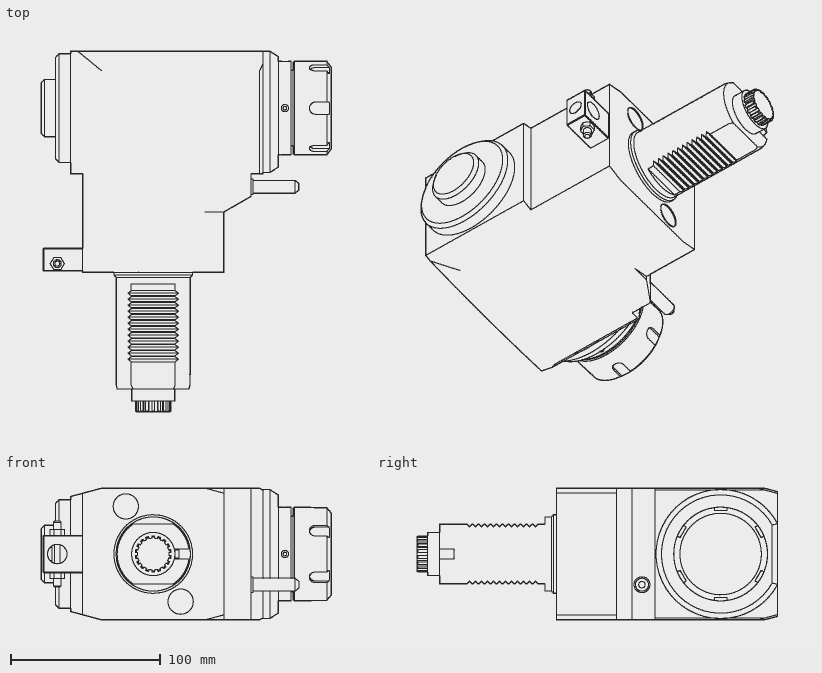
import cadquery as cq
import math


overall_length = 241.0

thickness = 88.0
half_thickness = thickness / 2
back_y = 147.7
head_left_x = -55.2
head_front_y = 65.8
head_right_x = 73.3
foot_half_width = 47.2
shoulder_x = 65.3
shoulder_front_y = 50.5
foot_back_y = 40.2
bevel_start_x = 34.7
bevel_angle = 15.0
bevel_slope = math.tan(math.radians(bevel_angle))
rim_bevel = 2.2
rim_bevel_angle = 30.0
rim_bevel_slope = math.tan(math.radians(rim_bevel_angle))
crown_radius = 308.5
crown_mid_y = 139.3
plug_radius = 8.5
plug_depth = 0.7
plug_x = 18.3
plug_z = 31.8

spindle_y = 109.7
cap_radius = 43.1
cap_end_x = 83.6
cap_chamfer_length = 5.8
cap_chamfer_drop = 3.5
nut_radius = 31.3
groove_radius = 25.3
groove_start_x = 92.0
groove_end_x = 93.5
nut_end_x = 119.0
nut_chamfer_length = 3.1
nut_end_radius = 27.2
nut_edge_break = 0.7
slot_count = 6
slot_width = 8.2
slot_start_x = 104.4
slot_floor_radius = 29.0
set_screw_count = 4
set_screw_x = 88.0
set_screw_radius = 2.5
set_screw_recess = 1.0
socket_radius = 1.2
socket_depth = 2.5

cover_radius = 36.5
cover_end_x = -65.3
cover_chamfer = 2.5
knob_radius = 19.3
knob_end_x = -75.0
knob_chamfer = 2.5

pin_y = 57.0
pin_z = -20.5
pin_radius = 4.3
pin_end_x = 97.4
pin_tip_length = 2.7
pin_tip_radius = 2.2
pin_collar_radius = 5.3
pin_collar_length = 1.5

shank_radius = 24.8
shank_length = 78.0
shank_chamfer_length = 2.7
shank_chamfer_drop = 0.7
collar_radius = 26.3
collar_length = 2.0
collar_taper_end = 3.4
flat_height = 20.0
flat_start = 7.7
tooth_count = 12
tooth_row_length = 44.0
tooth_pitch = tooth_row_length / (tooth_count - 1)
tooth_depth = 1.7
first_tooth = 14.0
tail_radius = 14.5
tail_end = 86.0
spline_count = 18
spline_root_radius = 10.5
spline_radius = 12.0
spline_tooth_width = 2.0
spline_end = overall_length - back_y
spline_chamfer = 0.7
key_width = 6.5
key_depth = 9.6
key_pocket_width = 5.0
key_pocket_end_x = 17.4
key_pocket_depth = 2.5

block_left_x = -73.5
block_front_y = 0.7
block_back_y = 16.1
block_height = 25.0
block_edge = 0.5
coolant_x = -64.0
screw_y = 5.8
screw_radius = 2.7
screw_end_z = 22.2
screw_tip_chamfer = 1.0
hex_diameter = 9.5
hex_top_z = 16.5
front_port_radius = 6.5
front_port_depth = 5.8
side_port_radius = 4.8
side_port_depth = 5.8
side_port_y = 8.7
port_slot_width = 3.9
port_slot_depth = 2.5


def rod_x(x_start, x_end, radius, y, z=0.0):
    """Cylinder along +X."""
    plane = cq.Workplane("YZ", origin=(x_start, y, z))
    return plane.circle(radius).extrude(x_end - x_start)


def rod_y(y_start, length, radius, x=0.0, z=0.0):
    """Cylinder running from y_start towards -Y."""
    return cq.Workplane("XZ", origin=(x, y_start, z)).circle(radius).extrude(length)


def edge_wedge(corner_x, start_x, slope, y_front, y_back):
    """Upper and lower wedges that bevel a long housing edge from start_x out to corner_x."""
    drop = slope * abs(corner_x - start_x)
    top = [(start_x, half_thickness), (corner_x, half_thickness), (corner_x, half_thickness - drop)]
    wedge = cq.Workplane("XZ", origin=(0, y_back, 0)).polyline(top).close().extrude(y_back - y_front)
    return wedge.union(wedge.mirror("XY"))


def make_crown():
    """Double cone whose flanks form the rear bevels of the housing."""
    waist_radius = crown_radius + half_thickness / bevel_slope
    head_mid_x = (head_right_x - rim_bevel - bevel_start_x) / 2
    profile = [
        (0, -half_thickness),
        (crown_radius, -half_thickness),
        (waist_radius, 0),
        (crown_radius, half_thickness),
        (0, half_thickness),
    ]
    cone = cq.Workplane("XZ").polyline(profile).close().revolve(360, (0, 0, 0), (0, 1, 0))
    return cone.translate((head_mid_x, crown_mid_y - crown_radius, 0))


def make_housing():
    outline = [
        (-foot_half_width, 0),
        (foot_half_width, 0),
        (foot_half_width, foot_back_y),
        (shoulder_x, shoulder_front_y),
        (shoulder_x, head_front_y),
        (head_right_x, head_front_y),
        (head_right_x, back_y),
        (head_left_x, back_y),
        (head_left_x, head_front_y),
        (-foot_half_width, head_front_y),
    ]
    housing = cq.Workplane("XY").polyline(outline).close().extrude(half_thickness, both=True)
    housing = housing.intersect(make_crown())
    housing = housing.cut(edge_wedge(head_left_x, -bevel_start_x, bevel_slope, 0, back_y))
    housing = housing.cut(edge_wedge(foot_half_width, bevel_start_x, bevel_slope, 0, foot_back_y))
    rim_start_x = head_right_x - rim_bevel
    housing = housing.cut(edge_wedge(head_right_x, rim_start_x, rim_bevel_slope, head_front_y, back_y))
    for side in (-1, 1):
        housing = housing.cut(rod_y(plug_depth, plug_depth, plug_radius, side * plug_x, -side * plug_z))
    return housing


def cap_outline(start_x):
    """Circle cut flat at the rear face of the housing."""
    half_chord = math.sqrt(cap_radius**2 - (back_y - spindle_y) ** 2)
    outline = cq.Workplane("YZ", origin=(start_x, 0, 0)).moveTo(back_y, half_chord)
    return outline.threePointArc((spindle_y - cap_radius, 0), (back_y, -half_chord)).close()


def make_cap():
    """Bearing cap with a tapered end."""
    taper_start_x = cap_end_x - cap_chamfer_length
    taper_angle = math.degrees(math.atan(cap_chamfer_drop / cap_chamfer_length))
    body = cap_outline(head_right_x).extrude(taper_start_x - head_right_x)
    return body.union(cap_outline(taper_start_x).extrude(cap_chamfer_length, taper=taper_angle))


def make_nut():
    """Clamping nut with its collar, spanner slots and set screws."""
    profile = [
        (cap_end_x, 0),
        (cap_end_x, nut_radius),
        (groove_start_x, nut_radius),
        (groove_start_x, groove_radius),
        (groove_end_x, groove_radius),
        (groove_end_x, nut_radius - nut_edge_break),
        (groove_end_x + nut_edge_break, nut_radius),
        (nut_end_x - nut_chamfer_length, nut_radius),
        (nut_end_x, nut_end_radius),
        (nut_end_x, 0),
    ]
    nut = cq.Workplane("XY").polyline(profile).close().revolve(360, (0, 0, 0), (1, 0, 0))

    slot_length = 2 * (nut_end_x - slot_start_x)
    slot_plane = cq.Workplane("XY", origin=(nut_end_x, 0, slot_floor_radius))
    slot = slot_plane.slot2D(slot_length, slot_width).extrude(nut_radius)
    for index in range(slot_count):
        nut = nut.cut(slot.rotate((0, 0, 0), (1, 0, 0), index * 360 / slot_count))

    recess_plane = cq.Workplane("XY", origin=(set_screw_x, 0, nut_radius - set_screw_recess))
    recess = recess_plane.circle(set_screw_radius).extrude(nut_radius)
    recess = recess.union(recess_plane.circle(socket_radius).extrude(-socket_depth))
    for index in range(set_screw_count):
        nut = nut.cut(recess.rotate((0, 0, 0), (1, 0, 0), index * 360 / set_screw_count))
    return nut.translate((0, spindle_y, 0))


def make_cover():
    cover = rod_x(cover_end_x, head_left_x, cover_radius, spindle_y).faces("<X").chamfer(cover_chamfer)
    knob = rod_x(knob_end_x, cover_end_x, knob_radius, spindle_y).faces("<X").chamfer(knob_chamfer)
    return cover.union(knob)


def make_pin():
    profile = [
        (shoulder_x, 0),
        (shoulder_x, pin_collar_radius),
        (shoulder_x + pin_collar_length, pin_collar_radius),
        (shoulder_x + pin_collar_length, pin_radius),
        (pin_end_x - pin_tip_length, pin_radius),
        (pin_end_x, pin_tip_radius),
        (pin_end_x, 0),
    ]
    pin = cq.Workplane("XY").polyline(profile).close().revolve(360, (0, 0, 0), (1, 0, 0))
    return pin.translate((0, pin_y, pin_z))


def make_flat_cut():
    """Material above the toothed flat, including the V-shaped tooth gaps."""
    profile = [(-flat_start, collar_radius), (-flat_start, flat_height)]
    for index in range(tooth_count):
        valley_y = -first_tooth - index * tooth_pitch
        profile += [
            (valley_y + tooth_depth, flat_height),
            (valley_y, flat_height - tooth_depth),
            (valley_y - tooth_depth, flat_height),
        ]
    profile += [(-shank_length, flat_height), (-shank_length, collar_radius)]
    return cq.Workplane("YZ").polyline(profile).close().extrude(shank_radius, both=True)


def make_spline():
    length = spline_end - tail_end
    spline = rod_y(-tail_end, length, spline_root_radius)
    tooth = cq.Workplane("XZ", origin=(0, -tail_end, 0)).rect(spline_tooth_width, 2 * spline_radius)
    tooth = tooth.extrude(length)
    for index in range(spline_count // 2):
        spline = spline.union(tooth.rotate((0, 0, 0), (0, 1, 0), index * 360 / spline_count))
    envelope = rod_y(-tail_end, length, spline_radius).faces("<Y").chamfer(spline_chamfer)
    return spline.intersect(envelope)


def make_shank():
    profile = [
        (0, 0),
        (collar_radius, 0),
        (collar_radius, -collar_length),
        (shank_radius, -collar_taper_end),
        (shank_radius, -shank_length + shank_chamfer_length),
        (shank_radius - shank_chamfer_drop, -shank_length),
        (0, -shank_length),
    ]
    shank = cq.Workplane("XY").polyline(profile).close().revolve(360, (0, 0, 0), (0, 1, 0))
    flat_cut = make_flat_cut()
    shank = shank.cut(flat_cut).cut(flat_cut.mirror("XY"))

    key_plane = cq.Workplane("XZ", origin=(0, -shank_length + key_depth, 0))
    key_length = shank_radius - tail_radius
    key_slot = key_plane.center(tail_radius + key_length / 2, 0).rect(key_length, key_width)
    key_slot = key_slot.extrude(key_depth)
    pocket_length = key_pocket_end_x - tail_radius
    pocket = key_plane.center(tail_radius + pocket_length / 2, 0).rect(pocket_length, key_pocket_width)
    pocket = pocket.extrude(-key_pocket_depth)
    shank = shank.cut(key_slot).cut(pocket)

    tail = rod_y(-shank_length, tail_end - shank_length, tail_radius)
    return shank.union(tail).union(make_spline())


def make_coolant_block():
    block = cq.Workplane("XY").box(
        -foot_half_width - block_left_x, block_back_y - block_front_y, block_height,
        centered=(False, False, True),
    ).translate((block_left_x, block_front_y, 0))
    block = block.edges("|X or <X").chamfer(block_edge)

    front_port = rod_y(block_front_y + front_port_depth, front_port_depth, front_port_radius, coolant_x)
    side_port = rod_x(block_left_x, block_left_x + side_port_depth, side_port_radius, side_port_y)
    port_slot_floor_y = block_front_y + front_port_depth + port_slot_depth
    port_slot = rod_y(port_slot_floor_y, port_slot_depth, front_port_radius, coolant_x).intersect(
        cq.Workplane("XY").box(port_slot_width, 2 * block_back_y, block_height).translate((coolant_x, 0, 0))
    )
    block = block.cut(front_port).cut(side_port).cut(port_slot)

    screw_plane = cq.Workplane("XY", origin=(coolant_x, screw_y, block_height / 2))
    screw = screw_plane.circle(screw_radius).extrude(screw_end_z - block_height / 2)
    screw = screw.faces(">Z").chamfer(screw_tip_chamfer)
    screw = screw.union(screw_plane.polygon(6, hex_diameter).extrude(hex_top_z - block_height / 2))
    return block.union(screw).union(screw.mirror("XY"))


result = make_housing()
for component in (make_cap(), make_nut(), make_cover(), make_pin(), make_shank(), make_coolant_block()):
    result = result.union(component)